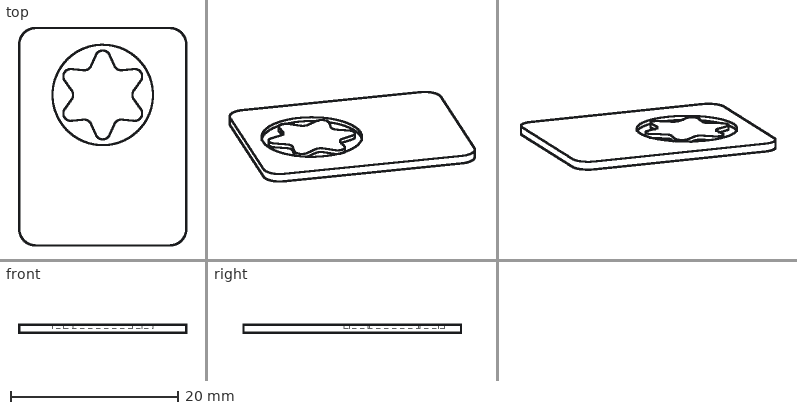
import cadquery as cq
import math

PLATE_WIDTH = 20.0
PLATE_LENGTH = 26.0
PLATE_THICKNESS = 1.0
CORNER_RADIUS = 2.0

POCKET_RADIUS = 6.0
POCKET_CENTER_Y = 5.0
POCKET_DEPTH = PLATE_THICKNESS / 2

LOBE_COUNT = 6
TIP_REACH = 5.3
TIP_RADIUS = 0.88
VALLEY_REACH = 3.54
VALLEY_RADIUS = 0.88
LOBE_PITCH = 2 * math.pi / LOBE_COUNT


def polar(radius, angle):
    """Point at a radius from the star center, with the angle measured from +Y."""
    return (radius * math.sin(angle), radius * math.cos(angle))


def flank_tangents():
    """Tangent points of the flank beside the +Y lobe: on its tip arc and on the next valley arc."""
    tip_x, tip_y = polar(TIP_REACH - TIP_RADIUS, 0)
    valley_x, valley_y = polar(VALLEY_REACH + VALLEY_RADIUS, LOBE_PITCH / 2)
    center_distance = math.hypot(valley_x - tip_x, valley_y - tip_y)
    center_direction = math.atan2(valley_y - tip_y, valley_x - tip_x)
    normal = center_direction + math.acos((TIP_RADIUS + VALLEY_RADIUS) / center_distance)
    normal_x = math.cos(normal)
    normal_y = math.sin(normal)
    on_tip = (tip_x + TIP_RADIUS * normal_x, tip_y + TIP_RADIUS * normal_y)
    on_valley = (valley_x - VALLEY_RADIUS * normal_x, valley_y - VALLEY_RADIUS * normal_y)
    return on_tip, on_valley


def turned(point, angle):
    """The point turned clockwise about the star center."""
    x, y = point
    return (
        x * math.cos(angle) + y * math.sin(angle),
        y * math.cos(angle) - x * math.sin(angle),
    )


def mirrored(point):
    """The point mirrored across the axis of the +Y lobe."""
    return (-point[0], point[1])


def make_plate():
    plate = cq.Workplane("XY").box(PLATE_WIDTH, PLATE_LENGTH, PLATE_THICKNESS)
    return plate.edges("|Z").fillet(CORNER_RADIUS)


def star_outline(workplane):
    """Closed star outline, drawn clockwise lobe by lobe from the +Y lobe."""
    on_tip, on_valley = flank_tangents()
    outline = workplane.moveTo(*mirrored(on_tip))
    for lobe in range(LOBE_COUNT):
        angle = lobe * LOBE_PITCH
        next_angle = angle + LOBE_PITCH
        outline = outline.threePointArc(polar(TIP_REACH, angle), turned(on_tip, angle))
        outline = outline.lineTo(*turned(on_valley, angle))
        outline = outline.threePointArc(
            polar(VALLEY_REACH, angle + LOBE_PITCH / 2),
            turned(mirrored(on_valley), next_angle),
        )
        if lobe < LOBE_COUNT - 1:
            outline = outline.lineTo(*turned(mirrored(on_tip), next_angle))
    return outline.close()


def make_pocket():
    """Ring-shaped volume between the round pocket wall and the star island."""
    floor_height = PLATE_THICKNESS / 2 - POCKET_DEPTH
    floor = cq.Workplane("XY", origin=(0, POCKET_CENTER_Y, floor_height))
    disc = floor.circle(POCKET_RADIUS).extrude(POCKET_DEPTH)
    island = star_outline(floor).extrude(POCKET_DEPTH)
    return disc.cut(island)


result = make_plate().cut(make_pocket())